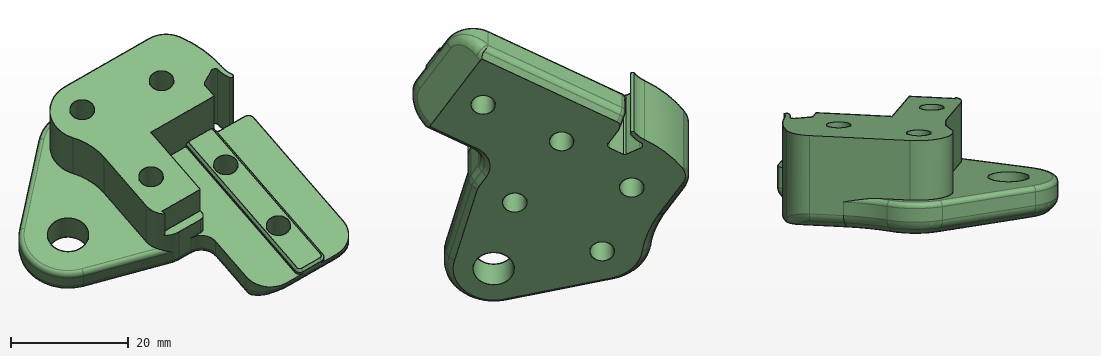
import cadquery as cq
import math


TOTAL_HEIGHT = 16.0
PLATE_HEIGHT = 5.6
ARM_HEIGHT = 6.0
RIB_HEIGHT = 7.0
LEDGE_HEIGHT = 9.8

MOUNT_HOLE_DIAMETER = 4.15
ARM_HOLE_DIAMETER = 4.1
PIVOT_HOLE_DIAMETER = 7.0
ARM_HOLE_SPACING = 15.5
BLOCK_HOLE = (4.3, 14.17)
ARM_HOLE_Y = BLOCK_HOLE[1] + ARM_HOLE_SPACING
MOUNT_HOLES = [(-11.05, 27.15), (-13.85, 12.68), BLOCK_HOLE]
ARM_HOLES = [(BLOCK_HOLE[0] + i * ARM_HOLE_SPACING, ARM_HOLE_Y) for i in range(2)]

BLOCK_LEFT = -19.46
BLOCK_RIGHT = 12.8
BLOCK_FRONT = 10.0
NOTCH_FLOOR_Y = 32.62
BLOCK_INNER_X = -3.3
FRONT_LEFT_RADIUS = 6.1
FRONT_LEFT_CENTRE = (BLOCK_LEFT + FRONT_LEFT_RADIUS, 13.1)
FRONT_BLEND_RADIUS = 11.4
FRONT_RIGHT_RADIUS = 4.0
FRONT_RIGHT_CENTRE = (BLOCK_RIGHT - FRONT_RIGHT_RADIUS, BLOCK_FRONT + FRONT_RIGHT_RADIUS)
REAR_LEFT_RADIUS = 5.0
REAR_LEFT_CENTRE = (BLOCK_LEFT + REAR_LEFT_RADIUS, 30.5)
REAR_LEFT_END_ANGLE = 116.5
LEDGE_X = 11.25
LEDGE_FRONT = 11.6
LEDGE_CORNER_RADIUS = 1.0

NOTCH_FLOOR_END_X = -6.15
NOTCH_BEVEL_END = (-6.5, 32.85)
NOTCH_WALL_TOP = (-7.8, 35.1)
HOOK_ROOT_MIDDLE = (-7.97, 35.85)
HOOK_INNER_START = (-7.5, 36.3)
HOOK_INNER_MIDDLE = (-6.2, 36.5)
HOOK_TIP_START = (-5.0, 37.0)
HOOK_TIP_MIDDLE = (-4.75, 37.5)
HOOK_TIP_END = (-5.15, 37.78)
HOOK_OUTER_MIDDLE = (-6.3, 37.35)
HOOK_BACK_START = (-7.6, 37.2)
HOOK_BACK_MIDDLE = (-12.3, 36.6)

ARM_LEFT = -2.72
ARM_RIGHT = 29.77
ARM_FRONT = 19.48
ARM_REAR = 39.63
ARM_CORNER_RADIUS = 5.0
ARM_REAR_LEFT_RADIUS = 1.1
ARM_NOTCH_RADIUS = 0.7
ARM_BLEND_RADIUS = 3.0
RIB_WIDTH = 5.8
RIB_CORNER_RADIUS = 1.0
RIB_CHAMFER = 0.45

PLATE_RADIUS = 8.37
LOBE_OVERHANG = 2.28
LOBE_CENTRE = (BLOCK_LEFT - LOBE_OVERHANG + PLATE_RADIUS, 13.42)
LOBE_BLEND_RADIUS = 20.0
PLATE_TOP_FILLET = 0.9

BOTTOM_CHAMFER = 1.5
ARM_END_CHAMFER = 4.6
BOTTOM_FILLET = 2.0

SELECTION_MARGIN = 0.1


def polar(centre, radius, degrees):
    """Point on a circle."""
    angle = math.radians(degrees)
    return (centre[0] + radius * math.cos(angle), centre[1] + radius * math.sin(angle))


def arc(path, centre, radius, start, end):
    """Extend a path by the arc that runs from one angle to another."""
    return path.threePointArc(polar(centre, radius, (start + end) / 2), polar(centre, radius, end))


def box_selector(low, high):
    """Selector for edges whose centres lie in a box, widened by a small margin."""
    return cq.selectors.BoxSelector(
        [value - SELECTION_MARGIN for value in low],
        [value + SELECTION_MARGIN for value in high],
    )


def trace_plate_edge():
    """Path along the plate edge, from the block's left wall around the pivot to its right wall."""
    reach = PLATE_RADIUS + LOBE_BLEND_RADIUS
    blend_x = BLOCK_LEFT - LOBE_BLEND_RADIUS
    blend_angle = math.degrees(math.acos((blend_x - LOBE_CENTRE[0]) / reach))
    blend_y = LOBE_CENTRE[1] + reach * math.sin(math.radians(blend_angle))
    blend_centre = (blend_x, blend_y)

    left_normal = math.degrees(math.atan2(LOBE_CENTRE[1], LOBE_CENTRE[0])) + 90
    corner_distance = math.hypot(*FRONT_RIGHT_CENTRE)
    corner_angle = math.degrees(math.atan2(FRONT_RIGHT_CENTRE[1], FRONT_RIGHT_CENTRE[0]))
    radius_step = PLATE_RADIUS - FRONT_RIGHT_RADIUS
    right_normal = corner_angle - math.degrees(math.acos(radius_step / corner_distance))

    pivot = (0, 0)
    path = cq.Workplane("XY").moveTo(BLOCK_LEFT, blend_y)
    path = arc(path, blend_centre, LOBE_BLEND_RADIUS, 0, blend_angle - 180)
    path = arc(path, LOBE_CENTRE, PLATE_RADIUS, blend_angle, left_normal)
    path = path.lineTo(*polar(pivot, PLATE_RADIUS, left_normal))
    path = arc(path, pivot, PLATE_RADIUS, left_normal, right_normal + 360)
    path = path.lineTo(*polar(FRONT_RIGHT_CENTRE, FRONT_RIGHT_RADIUS, right_normal))
    return arc(path, FRONT_RIGHT_CENTRE, FRONT_RIGHT_RADIUS, right_normal, 0)


def make_plate():
    """Pivot plate; its rear part lies inside the block and arm."""
    path = trace_plate_edge()
    rear_y = ARM_FRONT + ARM_BLEND_RADIUS
    plate = path.lineTo(BLOCK_RIGHT, rear_y).lineTo(0, rear_y).close().extrude(PLATE_HEIGHT)
    return plate.faces(">Z").edges().fillet(PLATE_TOP_FILLET)


def make_block():
    """Tall L-shaped block with the thin hook at its rear and a ledge at its right end."""
    blend_reach = FRONT_LEFT_RADIUS + FRONT_BLEND_RADIUS
    blend_y = BLOCK_FRONT - FRONT_BLEND_RADIUS
    blend_angle = math.degrees(math.asin((blend_y - FRONT_LEFT_CENTRE[1]) / blend_reach))
    blend_x = FRONT_LEFT_CENTRE[0] + blend_reach * math.cos(math.radians(blend_angle))
    blend_centre = (blend_x, blend_y)

    path = cq.Workplane("XY").moveTo(BLOCK_LEFT, FRONT_LEFT_CENTRE[1])
    path = arc(path, FRONT_LEFT_CENTRE, FRONT_LEFT_RADIUS, 180, 360 + blend_angle)
    path = arc(path, blend_centre, FRONT_BLEND_RADIUS, 180 + blend_angle, 90)
    path = path.lineTo(FRONT_RIGHT_CENTRE[0], BLOCK_FRONT)
    path = arc(path, FRONT_RIGHT_CENTRE, FRONT_RIGHT_RADIUS, -90, 0)
    ledge_corner = (BLOCK_RIGHT - LEDGE_CORNER_RADIUS, ARM_FRONT - LEDGE_CORNER_RADIUS)
    path = path.lineTo(BLOCK_RIGHT, ledge_corner[1])
    path = arc(path, ledge_corner, LEDGE_CORNER_RADIUS, 0, 90)
    path = path.lineTo(BLOCK_INNER_X, ARM_FRONT).lineTo(BLOCK_INNER_X, NOTCH_FLOOR_Y)

    path = path.lineTo(NOTCH_FLOOR_END_X, NOTCH_FLOOR_Y).lineTo(*NOTCH_BEVEL_END).lineTo(*NOTCH_WALL_TOP)
    path = path.threePointArc(HOOK_ROOT_MIDDLE, HOOK_INNER_START)
    path = path.threePointArc(HOOK_INNER_MIDDLE, HOOK_TIP_START)
    path = path.threePointArc(HOOK_TIP_MIDDLE, HOOK_TIP_END)
    path = path.threePointArc(HOOK_OUTER_MIDDLE, HOOK_BACK_START)
    rear_left_end = polar(REAR_LEFT_CENTRE, REAR_LEFT_RADIUS, REAR_LEFT_END_ANGLE)
    path = path.threePointArc(HOOK_BACK_MIDDLE, rear_left_end)
    path = arc(path, REAR_LEFT_CENTRE, REAR_LEFT_RADIUS, REAR_LEFT_END_ANGLE, 180)
    block = path.close().extrude(TOTAL_HEIGHT)

    step = cq.Workplane("XY", origin=(LEDGE_X, LEDGE_FRONT, LEDGE_HEIGHT)).box(
        BLOCK_RIGHT, ARM_FRONT, TOTAL_HEIGHT, centered=False
    )
    return block.cut(step)


def make_rib():
    """Raised strip along the arm, with rounded end corners and a chamfered top."""
    rib_left = BLOCK_INNER_X - RIB_CORNER_RADIUS
    rib = cq.Workplane("XY", origin=(rib_left, ARM_HOLE_Y, ARM_HEIGHT)).box(
        ARM_RIGHT - rib_left, RIB_WIDTH, RIB_HEIGHT - ARM_HEIGHT, centered=(False, True, False)
    )
    rib = rib.edges("|Z and >X").fillet(RIB_CORNER_RADIUS)
    return rib.faces(">Z").edges().chamfer(RIB_CHAMFER)


def make_sloped_prism(corners, radius, chamfer, wall):
    """Prism with rounded corners whose lower edge along one wall is cut by a 45 degree slope.

    It reaches below the underside so that the rounding of the slope's edge runs out freely.
    """
    depth = radius + BOTTOM_FILLET
    prism = cq.Workplane("XY", origin=(0, 0, -depth)).polyline(corners).close()
    prism = prism.extrude(depth + TOTAL_HEIGHT)
    prism = prism.faces("<Z").edges(wall).chamfer(depth + chamfer)
    prism = prism.faces(wall).edges("|Z").fillet(radius)
    return prism.faces(wall).edges("<Z").fillet(BOTTOM_FILLET)


def make_block_end():
    """Prism that rounds the block's rear left corner and slopes the lower edge of its left wall."""
    tangent_angle = math.radians(REAR_LEFT_END_ANGLE - 90)
    corner_rise = REAR_LEFT_RADIUS * math.tan((math.pi / 2 - tangent_angle) / 2)
    corner_y = REAR_LEFT_CENTRE[1] + corner_rise
    rear_right_y = corner_y + (ARM_RIGHT - BLOCK_LEFT) * math.tan(tangent_angle)
    corners = [
        (BLOCK_LEFT, -PLATE_RADIUS),
        (ARM_RIGHT, -PLATE_RADIUS),
        (ARM_RIGHT, rear_right_y),
        (BLOCK_LEFT, corner_y),
    ]
    return make_sloped_prism(corners, REAR_LEFT_RADIUS, BOTTOM_CHAMFER, "<X")


def make_arm():
    """Low arm with rounded corners and sloped lower edges at its right end and its rear."""
    corners = [
        (ARM_LEFT, ARM_FRONT),
        (ARM_RIGHT, ARM_FRONT),
        (ARM_RIGHT, ARM_REAR),
        (ARM_LEFT, ARM_REAR),
    ]
    right_end = make_sloped_prism(corners, ARM_CORNER_RADIUS, ARM_END_CHAMFER, ">X")
    arm = cq.Workplane("XY").polyline(corners).close().extrude(ARM_HEIGHT)
    arm = arm.edges("<Z and >Y").chamfer(BOTTOM_CHAMFER)
    arm = arm.faces(">Y").edges("<Z").fillet(BOTTOM_FILLET)
    rear_left_corner = box_selector(
        (ARM_LEFT, ARM_REAR - BOTTOM_CHAMFER, BOTTOM_CHAMFER / 4),
        (ARM_LEFT, ARM_REAR, ARM_HEIGHT * 3 / 4),
    )
    arm = arm.edges(rear_left_corner).fillet(ARM_REAR_LEFT_RADIUS)
    return arm.intersect(right_end)


def make_arm_root():
    """Low web that joins the arm to the block, with concave blends in the notch and at the right wall."""
    root_front = ARM_FRONT - ARM_BLEND_RADIUS
    root_left = BLOCK_INNER_X - ARM_BLEND_RADIUS
    root_rear = NOTCH_FLOOR_Y + ARM_NOTCH_RADIUS
    blend_right = BLOCK_RIGHT + ARM_BLEND_RADIUS
    return (
        cq.Workplane("XY")
        .moveTo(root_left, root_front)
        .lineTo(BLOCK_RIGHT, root_front)
        .radiusArc((blend_right, ARM_FRONT), ARM_BLEND_RADIUS)
        .lineTo(blend_right, root_rear)
        .lineTo(ARM_LEFT, root_rear)
        .radiusArc((ARM_LEFT - ARM_NOTCH_RADIUS, NOTCH_FLOOR_Y), ARM_NOTCH_RADIUS)
        .lineTo(root_left, NOTCH_FLOOR_Y)
        .close()
        .extrude(ARM_HEIGHT)
    )


def make_envelope():
    """Prism around the whole part with a chamfered, rounded lower edge."""
    beyond_arm = ARM_REAR + ARM_CORNER_RADIUS
    path = trace_plate_edge()
    envelope = (
        path.lineTo(BLOCK_RIGHT, ARM_FRONT - ARM_BLEND_RADIUS)
        .radiusArc((BLOCK_RIGHT + ARM_BLEND_RADIUS, ARM_FRONT), ARM_BLEND_RADIUS)
        .lineTo(ARM_RIGHT, ARM_FRONT)
        .lineTo(ARM_RIGHT, beyond_arm)
        .lineTo(BLOCK_LEFT, beyond_arm)
        .close()
        .extrude(TOTAL_HEIGHT)
    )
    envelope = envelope.faces("<Z").edges("not >X").chamfer(BOTTOM_CHAMFER)
    chamfer_top = box_selector(
        (BLOCK_LEFT - LOBE_OVERHANG, -PLATE_RADIUS, BOTTOM_CHAMFER),
        (ARM_RIGHT, beyond_arm, BOTTOM_CHAMFER),
    )
    return envelope.edges(chamfer_top).edges("not >X").fillet(BOTTOM_FILLET)


def drill(body, points, diameter):
    """Through holes."""
    return body.cut(cq.Workplane("XY").pushPoints(points).circle(diameter / 2).extrude(TOTAL_HEIGHT))


block = make_block().intersect(make_block_end())
arm = make_arm().union(make_arm_root()).union(make_rib())
body = block.union(make_plate()).union(arm)
body = body.intersect(make_envelope())
body = drill(body, MOUNT_HOLES, MOUNT_HOLE_DIAMETER)
body = drill(body, ARM_HOLES, ARM_HOLE_DIAMETER)
result = drill(body, [(0, 0)], PIVOT_HOLE_DIAMETER)